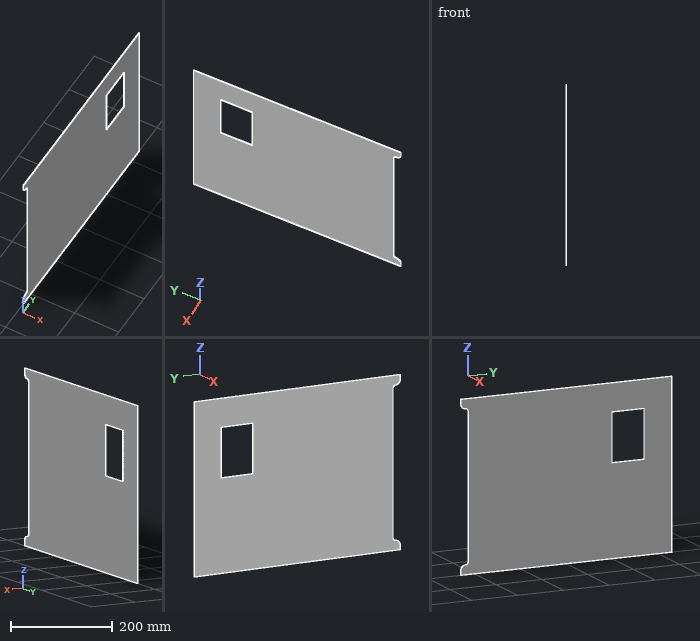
import cadquery as cq

THICKNESS = 1.6
LENGTH = 459.8
HEIGHT = 357.0

RECESS_DEPTH = 16.0
LUG_HEIGHT = 20.0
LUG_RADIUS = 10.0
ROOT_RADIUS = RECESS_DEPTH - LUG_RADIUS

WINDOW_LENGTH = 70.0
WINDOW_HEIGHT = 103.0
WINDOW_SIDE_MARGIN = 60.0
WINDOW_TOP_MARGIN = 59.5


def centered_block(length, height, y=0.0, z=0.0):
    """Block of sheet thickness centred at the given Y and Z."""
    return cq.Workplane("YZ").center(y, z).rect(length, height).extrude(THICKNESS / 2, both=True)


def edge_recess():
    """Recess cutter: convex arcs round the lugs and concave arcs round the roots."""
    edge_y = -LENGTH / 2
    floor_y = edge_y + RECESS_DEPTH
    shoulder_y = edge_y + LUG_RADIUS
    shoulder_z = HEIGHT / 2 - LUG_HEIGHT
    lug_z = shoulder_z + LUG_RADIUS
    root_z = shoulder_z - ROOT_RADIUS
    return (
        cq.Workplane("YZ")
        .moveTo(edge_y, lug_z)
        .radiusArc((shoulder_y, shoulder_z), -LUG_RADIUS)
        .radiusArc((floor_y, root_z), ROOT_RADIUS)
        .lineTo(floor_y, -root_z)
        .radiusArc((shoulder_y, -shoulder_z), ROOT_RADIUS)
        .radiusArc((edge_y, -lug_z), -LUG_RADIUS)
        .close()
        .extrude(THICKNESS / 2, both=True)
    )


def window():
    """Window cutter through the sheet."""
    center_y = LENGTH / 2 - WINDOW_SIDE_MARGIN - WINDOW_LENGTH / 2
    center_z = HEIGHT / 2 - WINDOW_TOP_MARGIN - WINDOW_HEIGHT / 2
    return centered_block(WINDOW_LENGTH, WINDOW_HEIGHT, center_y, center_z)


result = centered_block(LENGTH, HEIGHT).cut(edge_recess()).cut(window())